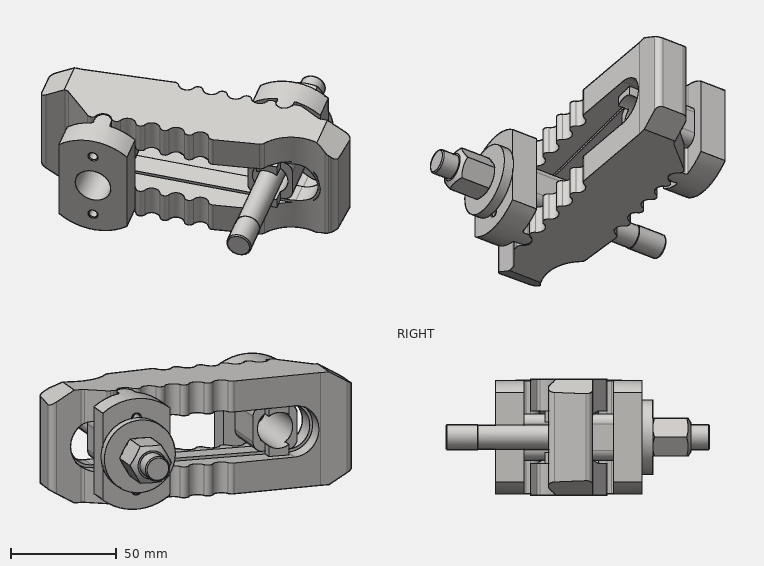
import cadquery as cq
import math


bar_length = 150.0
bar_height = 55.0
bar_end = bar_length / 2
corner_radius = 3.0
end_chamfer_run = 12.0
end_chamfer_angle = 30.0

tail_back_y = 10.6
tail_front_y = -6.6
tail_flat_end_x = -58.6

nose_back_y = 7.0
nose_front_y = -13.8
nose_root_x = 58.8
nose_slant = 4.0
shoulder_x = 48.2

belly_radius = 20.0
belly_x = 55.8
belly_top_y = -9.2
belly_start_x = 38.5

groove_pitch = 12.0
groove_count = 5
groove_radius = 4.0
tooth_height = 4.0
back_tooth_lean = 4.0
front_tooth_lean = 8.1
tail_slope = 46.0
back_groove_y = 9.8
front_groove_y = -18.3
stud_x = 39.8
front_pad_x = -39.2

half_pitch = groove_pitch / 2
radius_sum = (half_pitch**2 + tooth_height**2) / (2 * tooth_height)
tooth_radius = radius_sum - groove_radius
flank_lean = math.degrees(math.atan2(half_pitch, radius_sum - tooth_height))

slot_start_x = -45.5
slot_end_x = 52.4
slot_height = 22.0
recess_height = 24.9
rib_mid_y = (back_groove_y + front_groove_y) / 2
rib_thickness = 11.2

pad_width = 33.6
pad_diameter = 54.0
pad_thickness = 13.5
pad_bore = 17.5
nib_radius = groove_radius
nib_height = 7.2
nib_root_radius = 1.0
sleeve_size = slot_height
sleeve_corner = 4.8
hook_width = 10.0
hook_span = 24.8
screw_hole_diameter = 4.0
screw_hole_depth = 9.0
screw_hole_offset = 17.5
screw_hole_chamfer = 0.5
drill_point_angle = 118.0

hook_length = 5.7
sleeve_length = nib_height + (back_groove_y - (rib_mid_y - rib_thickness / 2))

stud_length = 125.0
thread_diameter = 12.0
shank_diameter = 11.5
front_thread_length = 15.3
stud_chamfer = 0.6
washer_diameter = 35.4
washer_bore = 12.6
washer_thickness = 5.1
nut_flats = 18.0
nut_height = 18.0
nut_chamfer_angle = 30.0
nut_top_radius = 6.9

washer_y = back_groove_y + nib_height + pad_thickness
nut_y = washer_y + washer_thickness


def along_y(x, y):
    """Workplane centred at (x, y, 0) whose normal points along +Y and local Y along -Z."""
    return cq.Workplane(cq.Plane(origin=(x, y, 0), xDir=(1, 0, 0), normal=(0, 1, 0)))


def nose_face_x(y):
    """X of the leaning nose face; its upper corner arc just reaches the end of the bar."""
    slant = math.radians(nose_slant)
    arc_x = bar_end - corner_radius
    arc_y = nose_back_y - corner_radius
    return arc_x + (corner_radius + (y - arc_y) * math.sin(slant)) / math.cos(slant)


def belly_y(x):
    """Y on the concave belly arc."""
    return belly_top_y - belly_radius + math.sqrt(belly_radius**2 - (x - belly_x)**2)


def belly_end_x():
    """X where the belly arc meets the front of the nose."""
    drop = belly_top_y - belly_radius - nose_front_y
    return belly_x + math.sqrt(belly_radius**2 - drop**2)


def add_tooth_row(outline, first_groove_x, bottom_y, outward, start_lean, end_lean):
    """Draw the grooves with a tooth before, between and after them.

    outward is +1 for the back row, drawn toward +X, and -1 for the front row, drawn toward -X.
    Leans are in degrees from the outward direction.
    """
    def tooth_point(number, lean):
        angle = math.radians(lean)
        along = (number - 0.5) * groove_pitch + tooth_radius * math.sin(angle)
        rise = tooth_height - tooth_radius + tooth_radius * math.cos(angle)
        return first_groove_x + outward * along, bottom_y + outward * rise

    outline = outline.lineTo(*tooth_point(0, start_lean))
    for number in range(groove_count + 1):
        lean_in = start_lean if number == 0 else -flank_lean
        lean_out = end_lean if number == groove_count else flank_lean
        middle = tooth_point(number, (lean_in + lean_out) / 2)
        outline = outline.threePointArc(middle, tooth_point(number, lean_out))
        if number < groove_count:
            groove_bottom = (first_groove_x + outward * number * groove_pitch, bottom_y)
            outline = outline.threePointArc(groove_bottom, tooth_point(number + 1, -flank_lean))
    return outline


def make_bar_blank():
    """Serrated outline raised to the bar height, with its corners rounded."""
    row_length = (groove_count - 1) * groove_pitch
    back_tip_y = back_groove_y + tooth_height
    slope = math.radians(tail_slope)
    last_tooth_x = front_pad_x - half_pitch
    last_tooth_y = front_groove_y - tooth_height + tooth_radius
    tail_rise = tail_front_y - last_tooth_y
    tail_root_x = last_tooth_x - tooth_radius / math.sin(slope) - tail_rise / math.tan(slope)

    outline = cq.Workplane("XY").moveTo(-bar_end, tail_back_y).lineTo(tail_flat_end_x, tail_back_y)
    outline = add_tooth_row(outline, stud_x - row_length, back_groove_y, 1, -back_tooth_lean, 0)
    outline = outline.lineTo(shoulder_x, back_tip_y).lineTo(nose_root_x, nose_back_y)
    outline = outline.lineTo(nose_face_x(nose_back_y), nose_back_y)
    outline = outline.lineTo(nose_face_x(nose_front_y), nose_front_y)
    outline = outline.lineTo(belly_end_x(), nose_front_y)
    outline = outline.threePointArc((belly_x, belly_top_y), (belly_start_x, belly_y(belly_start_x)))
    outline = add_tooth_row(
        outline, front_pad_x + row_length, front_groove_y, -1, -front_tooth_lean, tail_slope
    )
    outline = outline.lineTo(tail_root_x, tail_front_y).lineTo(-bar_end, tail_front_y).close()
    bar = outline.extrude(bar_height / 2, both=True)

    rounded_corners = [
        (-bar_end, tail_back_y),
        (shoulder_x, back_tip_y),
        (nose_root_x, nose_back_y),
        (nose_face_x(nose_back_y), nose_back_y),
        (nose_face_x(nose_front_y), nose_front_y),
        (belly_end_x(), nose_front_y),
        (belly_start_x, belly_y(belly_start_x)),
        (tail_root_x, tail_front_y),
        (-bar_end, tail_front_y),
    ]
    for x, y in rounded_corners:
        corner_edge = cq.selectors.NearestToPointSelector((x, y, 0))
        bar = bar.edges("|Z").edges(corner_edge).fillet(corner_radius)
    return bar


def chamfer_bar_ends(bar):
    """Slope the top and bottom faces in toward both ends."""
    chamfer_drop = end_chamfer_run * math.tan(math.radians(end_chamfer_angle))
    end_z = bar_height / 2 - chamfer_drop
    flat_x = bar_end - end_chamfer_run
    side_outline = [
        (-bar_end, -end_z), (-flat_x, -bar_height / 2), (flat_x, -bar_height / 2), (bar_end, -end_z),
        (bar_end, end_z), (flat_x, bar_height / 2), (-flat_x, bar_height / 2), (-bar_end, end_z),
    ]
    return bar.intersect(along_y(0, 0).polyline(side_outline).close().extrude(bar_length, both=True))


def cut_stepped_slot(bar):
    """Narrow slot right through, with a wider recess on either side of the middle rib."""
    slot_middle_x = (slot_start_x + slot_end_x) / 2
    slot_run = slot_end_x - slot_start_x
    slot = along_y(slot_middle_x, 0).slot2D(slot_run + slot_height, slot_height)
    bar = bar.cut(slot.extrude(bar_length, both=True))
    for outward in (1, -1):
        recess = along_y(slot_middle_x, rib_mid_y + outward * rib_thickness / 2)
        recess = recess.slot2D(slot_run + recess_height, recess_height)
        bar = bar.cut(recess.extrude(outward * bar_length))
    return bar


def make_pad():
    """Pad with its mating face at y = 0, the block toward +Y and the sleeve toward -Y."""
    disc = along_y(0, 0).circle(pad_diameter / 2).extrude(pad_thickness)
    side_flats = cq.Workplane("XY").box(pad_width, 2 * pad_thickness, pad_diameter)
    block = disc.intersect(side_flats)

    root_x = nib_radius + nib_root_radius
    arc_mid = nib_root_radius * (1 - math.sqrt(0.5))
    nib = (
        cq.Workplane("XY")
        .moveTo(-root_x, 0)
        .threePointArc((-nib_radius - arc_mid, -arc_mid), (-nib_radius, -nib_root_radius))
        .lineTo(-nib_radius, nib_radius - nib_height)
        .threePointArc((0, -nib_height), (nib_radius, nib_radius - nib_height))
        .lineTo(nib_radius, -nib_root_radius)
        .threePointArc((nib_radius + arc_mid, -arc_mid), (root_x, 0))
        .close()
        .extrude(pad_diameter / 2, both=True)
    )
    nib_limit = along_y(0, 0).circle(pad_diameter / 2).extrude(-nib_height)

    sleeve = along_y(0, 0).rect(sleeve_size, sleeve_size).extrude(-sleeve_length)
    sleeve = sleeve.edges("|Y").fillet(sleeve_corner)
    hooks = along_y(0, -sleeve_length).rect(hook_width, hook_span).extrude(-hook_length)

    pad = block.union(nib.intersect(nib_limit)).union(sleeve).union(hooks)
    pad_reach = sleeve_length + hook_length
    pad = pad.cut(along_y(0, -pad_reach).circle(pad_bore / 2).extrude(pad_reach + pad_thickness))

    hole_radius = screw_hole_diameter / 2
    mouth_radius = hole_radius + screw_hole_chamfer
    point_length = hole_radius / math.tan(math.radians(drill_point_angle / 2))
    screw_hole = (
        cq.Workplane("XY")
        .moveTo(0, pad_thickness)
        .lineTo(mouth_radius, pad_thickness)
        .lineTo(hole_radius, pad_thickness - screw_hole_chamfer)
        .lineTo(hole_radius, pad_thickness - screw_hole_depth)
        .lineTo(0, pad_thickness - screw_hole_depth - point_length)
        .close()
        .revolve(360, (0, 0, 0), (0, 1, 0))
    )
    for z in (-screw_hole_offset, screw_hole_offset):
        pad = pad.cut(screw_hole.translate((0, 0, z)))
    return pad


def make_stud():
    """Plain shank between two chamfered threads."""
    stud_end = stud_length / 2
    thread_radius = thread_diameter / 2
    shank_radius = shank_diameter / 2
    tip_radius = thread_radius - stud_chamfer
    shoulder = thread_radius - shank_radius
    front_thread_y = front_thread_length - stud_end
    profile = [
        (0, -stud_end),
        (tip_radius, -stud_end),
        (thread_radius, stud_chamfer - stud_end),
        (thread_radius, front_thread_y - shoulder),
        (shank_radius, front_thread_y),
        (shank_radius, nut_y - shoulder),
        (thread_radius, nut_y),
        (thread_radius, stud_end - stud_chamfer),
        (tip_radius, stud_end),
        (0, stud_end),
    ]
    stud = cq.Workplane("XY").polyline(profile).close().revolve(360, (0, 0, 0), (0, 1, 0))
    return stud.translate((stud_x, 0, 0))


def make_washer():
    ring = along_y(stud_x, washer_y).circle(washer_diameter / 2).circle(washer_bore / 2)
    return ring.extrude(washer_thickness)


def make_nut():
    """Hex nut with two corners along X and conical chamfers at both ends."""
    corner_diameter = nut_flats / math.cos(math.radians(30))
    hexagon = along_y(stud_x, nut_y).polygon(6, corner_diameter).extrude(nut_height)

    outer_radius = corner_diameter / 2
    slope = math.tan(math.radians(nut_chamfer_angle))
    base_radius = nut_flats / 2
    envelope_profile = [
        (0, 0),
        (base_radius, 0),
        (outer_radius, (outer_radius - base_radius) * slope),
        (outer_radius, nut_height - (outer_radius - nut_top_radius) * slope),
        (nut_top_radius, nut_height),
        (0, nut_height),
    ]
    envelope = cq.Workplane("XY").polyline(envelope_profile).close().revolve(360, (0, 0, 0), (0, 1, 0))
    nut = hexagon.intersect(envelope.translate((stud_x, nut_y, 0)))
    return nut.cut(along_y(stud_x, nut_y).circle(thread_diameter / 2).extrude(nut_height))


bar = cut_stepped_slot(chamfer_bar_ends(make_bar_blank()))

pad_seats = [
    (stud_x, back_groove_y + nib_height, 0),
    (front_pad_x, front_groove_y - nib_height, 180),
]
pads = []
for seat_x, face_y, turn in pad_seats:
    pad = make_pad().rotate((0, 0, 0), (0, 0, 1), turn).translate((seat_x, face_y, 0))
    pads.append(pad.val())

stud = make_stud()
washer = make_washer()
nut = make_nut()

result = cq.Compound.makeCompound([bar.val(), *pads, stud.val(), washer.val(), nut.val()])